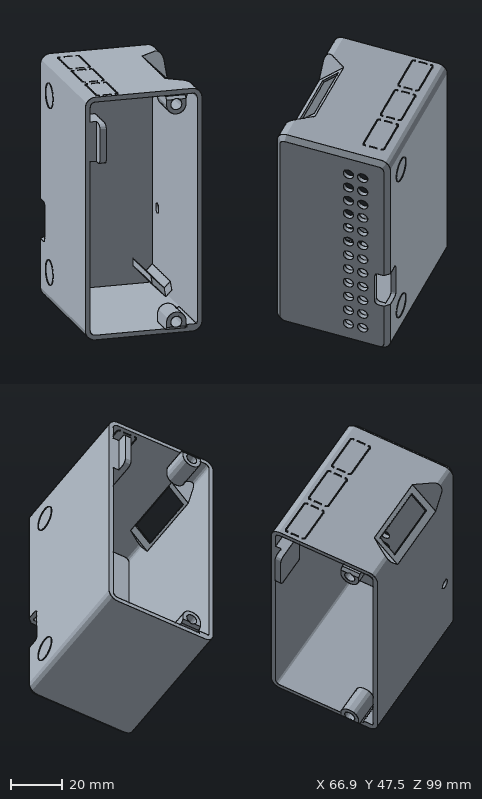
import cadquery as cq
import math

length = 61.9
width = 47.5
height = 99.0
wall = 2.0
edge_radius = 4.1
end_chamfer = 2.0

vent_diameter = 4.3
vent_columns = (10.9, 16.8)
vent_first_z = 9.5
vent_last_z = 67.7
vent_rows = 9
vent_pitch = (vent_last_z - vent_first_z) / (vent_rows - 1)
upper_vent_first_z = 74.7
upper_vent_pitch = 7.0
upper_vent_rows = 3

window_reach_x = 7.7
window_reach_y = 5.8
window_bottom = 24.0
window_height = 16.2
window_radius = 1.8

recess_diameter = 10.0
recess_depth = 0.3
recess_x = 13.6
recess_edge_gap = 13.5

screw_diameter = 4.0
screw_x = 8.6
screw_z = 34.1

bevel_run = 10.4
flank_angle = 45.0
notch_width = 30.1
notch_skin = 0.8
slot_start_x = 18.9
slot_end_x = 43.9
slot_near_y = 38.6
slot_far_y = 45.1

knockout_length = 16.1
knockout_width = 9.0
knockout_radius = 1.0
knockout_slit = 0.4
knockout_pitch = 18.2
knockout_x = 33.9
knockout_y = 9.5
bridge_inner = 1.6
bridge_outer = 3.3

lug_y = 36.3
lug_radius = 4.0
lug_height = 3.2
lug_overhang = 2.2
lug_inside = 9.9
lug_chamfer = 1.2
lug_hole_diameter = 4.5

tongue_overhang = 4.95
tongue_inside = 9.9
tongue_bottom = 72.9
tongue_height = 16.2
tongue_near_y = 4.5
tongue_thickness = 2.6
tongue_radius = 2.3

gutter_end_x = 28.0
gutter_plate = 2.1
gutter_valley_y = 43.1
gutter_valley_z = 6.9
gutter_front_y = 37.6

pad_start_x = 38.3
pad_full_x = 42.2
pad_front_y = 41.3
pad_thickness = 1.0

inner_top = height - wall
inner_back = width - wall
margin = 4.95


def block(x, y, z):
    """Box given by its (low, high) limits along each axis."""
    size = (x[1] - x[0], y[1] - y[0], z[1] - z[0])
    return cq.Workplane("XY").box(*size, centered=False).translate((x[0], y[0], z[0]))


def make_shell():
    """Return the solid outer form of the case and the hollow case cut from it."""
    outer = block((0, length), (0, width), (0, height)).edges("|X").fillet(edge_radius)
    outer = outer.faces("<X").chamfer(end_chamfer)
    cavity = block((wall, length + margin), (wall, inner_back), (wall, inner_top))
    return outer, outer.cut(cavity.edges("|X").fillet(edge_radius - wall))


def flared_notch(depth=0.0):
    """Flared solid above the notch floor, with every flank moved outward by the given depth."""
    shift = depth / math.sqrt(2)
    origin = (length / 2, width - bevel_run / 2 - shift, height - bevel_run / 2 - shift)
    floor = cq.Workplane(cq.Plane(origin, xDir=(1, 0, 0), normal=(0, 1, 1)))
    floor_width = notch_width + 2 * depth * math.tan(math.radians(flank_angle / 2))
    floor_length = bevel_run * math.sqrt(2) + 2 * margin
    return floor.rect(floor_width, floor_length).extrude(2 * margin, taper=-flank_angle)


def strap_slot():
    """Slot cut square to the notch floor."""
    slot_x = (slot_start_x + slot_end_x) / 2
    slot_y = (slot_near_y + slot_far_y) / 2
    center = (slot_x, slot_y, height - bevel_run + width - slot_y)
    plane = cq.Workplane(cq.Plane(center, xDir=(1, 0, 0), normal=(0, 1, 1)))
    slot_length = (slot_far_y - slot_near_y) * math.sqrt(2)
    return plane.rect(slot_end_x - slot_start_x, slot_length).extrude(margin, both=True)


def vent_holes():
    rows = [vent_first_z + i * vent_pitch for i in range(vent_rows)]
    rows += [upper_vent_first_z + i * upper_vent_pitch for i in range(upper_vent_rows)]
    points = [(y, z) for y in vent_columns for z in rows]
    return cq.Workplane("YZ").pushPoints(points).circle(vent_diameter / 2).extrude(wall)


def corner_window():
    heights = (window_bottom, window_bottom + window_height)
    side = block((-margin, window_reach_x), (-margin, wall), heights)
    end = block((-margin, wall), (-margin, window_reach_y), heights)
    side = side.edges("|Y and >X").fillet(window_radius)
    return side.union(end.edges("|X and >Y").fillet(window_radius))


def round_recesses():
    points = [(recess_x, recess_edge_gap), (recess_x, height - recess_edge_gap)]
    return cq.Workplane("XZ").pushPoints(points).circle(recess_diameter / 2).extrude(-recess_depth)


def screw_hole():
    plane = cq.Workplane("XZ", origin=(0, inner_back, 0))
    return plane.center(screw_x, screw_z).circle(screw_diameter / 2).extrude(-wall)


def knockout_slits():
    """Rounded rectangular slit interrupted by two bridges on each short side."""
    inset = 2 * knockout_slit
    outer = cq.Workplane("XY").rect(knockout_length, knockout_width).extrude(wall)
    inner = cq.Workplane("XY").rect(knockout_length - inset, knockout_width - inset).extrude(wall)
    outer = outer.edges("|Z").fillet(knockout_radius)
    slit = outer.cut(inner.edges("|Z").fillet(knockout_radius - knockout_slit))
    bridge_y = (bridge_inner + bridge_outer) / 2
    bridges = cq.Workplane("XY").pushPoints([(0, -bridge_y), (0, bridge_y)])
    return slit.cut(bridges.rect(knockout_length, bridge_outer - bridge_inner).extrude(wall))


def screw_lug():
    """Lug hanging from the top wall: square at the top, round at the bottom, bored along X."""
    start = length - lug_inside
    lug_length = lug_inside + lug_overhang
    center = (start, lug_y, inner_top - lug_height)
    lug = (
        cq.Workplane("YZ", origin=center)
        .moveTo(-lug_radius, lug_height)
        .lineTo(-lug_radius, 0)
        .threePointArc((0, -lug_radius), (lug_radius, 0))
        .lineTo(lug_radius, lug_height)
        .close()
        .extrude(lug_length)
    )
    lug = lug.faces(">X").edges(">Z").chamfer(lug_chamfer)
    bore = cq.Workplane("YZ", origin=center).circle(lug_hole_diameter / 2).extrude(lug_length)
    return lug.cut(bore)


def tongue():
    heights = (tongue_bottom, tongue_bottom + tongue_height)
    far_y = tongue_near_y + tongue_thickness
    plate = block((length - tongue_inside, length + tongue_overhang), (tongue_near_y, far_y), heights)
    plate = plate.edges("|Y and >X").fillet(tongue_radius)
    root = block((length - tongue_inside, length), (wall, tongue_near_y), heights)
    return plate.union(root)


def gutter_arm(direction, reach):
    """Sloping plate rising from the valley towards +Y (1) or -Y (-1), bevelled at its +X end."""
    arm_length = 2 * reach * math.sqrt(2)
    drop = gutter_plate * math.sqrt(2)
    base = cq.Plane(
        (gutter_end_x, gutter_valley_y, gutter_valley_z - drop),
        xDir=(1, 0, 0),
        normal=(0, -direction, 1),
    )
    run = gutter_end_x - wall
    arm = cq.Workplane(base).center(-run, 0).rect(2 * run, 2 * arm_length)
    arm = arm.extrude(gutter_plate, taper=flank_angle)
    far_y = gutter_valley_y + direction * reach
    limits = sorted((gutter_valley_y, far_y))
    return arm.intersect(block((wall, gutter_end_x), limits, (wall, height / 2)))


def corner_pad():
    outline = [
        (pad_start_x, inner_back),
        (pad_full_x, pad_front_y),
        (length, pad_front_y),
        (length, inner_back),
    ]
    return cq.Workplane("XY", origin=(0, 0, wall)).polyline(outline).close().extrude(pad_thickness)


outer, body = make_shell()

body = body.union(flared_notch(notch_skin).intersect(outer))
body = body.cut(flared_notch()).cut(strap_slot())

body = body.cut(vent_holes()).cut(corner_window()).cut(round_recesses()).cut(screw_hole())
for i in (-1, 0, 1):
    place = (knockout_x + i * knockout_pitch, knockout_y, inner_top)
    body = body.cut(knockout_slits().translate(place))

upper_lug = screw_lug()
lower_lug = upper_lug.mirror("XY", (0, 0, height / 2))
body = body.union(upper_lug).union(lower_lug).union(tongue())

gutter = gutter_arm(1, width - gutter_valley_y).union(gutter_arm(-1, gutter_valley_y - gutter_front_y))
result = body.union(gutter.union(corner_pad()).intersect(outer))